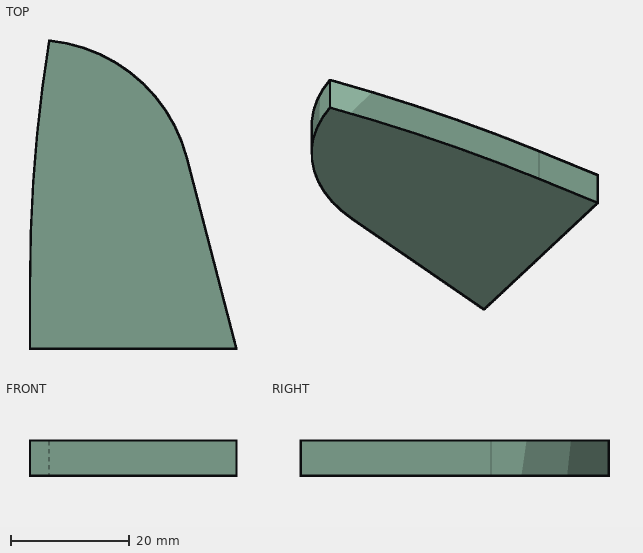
import cadquery as cq
import math

thickness = 6.0
base_width = 34.99
height = 52.24
tip_x = 3.25
left_straight = 11.95
shoulder_x = 26.61
shoulder_y = 32.3

left_rise = height - left_straight
left_radius = (left_rise**2 + tip_x**2) / (2 * tip_x)
left_half_angle = math.asin(left_rise / left_radius) / 2
left_mid_x = left_radius * (1 - math.cos(left_half_angle))
left_mid_y = left_straight + left_radius * math.sin(left_half_angle)


def blade_profile():
    """Closed outline, lower left corner at the origin, round top tangent to the slanted edge."""
    return (
        cq.Workplane("XY")
        .lineTo(base_width, 0)
        .lineTo(shoulder_x, shoulder_y)
        .tangentArcPoint((tip_x, height), relative=False)
        .threePointArc((left_mid_x, left_mid_y), (0, left_straight))
        .close()
    )


result = blade_profile().extrude(thickness)